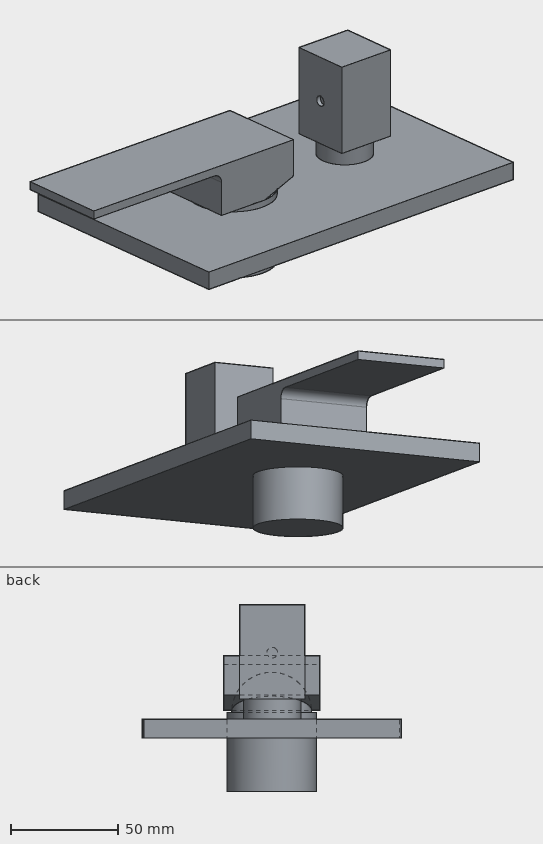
import cadquery as cq

PLATE_BOTTOM = 24.9
PLATE_THICKNESS = 9.0
PLATE_TOP = PLATE_BOTTOM + PLATE_THICKNESS
SLEEVE_TOP = 37.0
HANDLE_BOTTOM = 37.8
HANDLE_TOP = 63.4
KNOB_BOTTOM = 43.0
KNOB_TOP = 87.0

PLATE_WIDTH = 120.0
PLATE_LENGTH = 190.0
PLATE_CENTER_Y = 27.0
PLATE_TURN = 0.3

SLEEVE_RADIUS = 21.0
DOME_RADIUS = 18.7

HANDLE_WIDTH = 45.0
HANDLE_BACK_Y = 18.2
HANDLE_LENGTH = 124.0
HANDLE_FRONT_Y = HANDLE_BACK_Y - HANDLE_LENGTH
BLOCK_FRONT_Y = -26.5
BLADE_THICKNESS = 4.0
BLADE_BOTTOM = HANDLE_TOP - BLADE_THICKNESS
BLADE_FILLET = 4.5
RELIEF_HEIGHT = 7.0
RELIEF_END_Y = 0.5

KNOB_SIDE = 30.3
KNOB_X = -0.2
KNOB_Y = 70.0
STEM_RADIUS = 13.5
SCREW_HOLE_DIAMETER = 5.0
SCREW_HOLE_DEPTH = 2.3
SCREW_HOLE_Z = 64.8


def make_plate():
    """Rectangular plate with a through hole for the sleeve."""
    slab = (
        cq.Workplane("XY")
        .box(PLATE_WIDTH, PLATE_LENGTH, PLATE_THICKNESS, centered=(True, True, False))
        .rotate((0, 0, 0), (0, 0, 1), PLATE_TURN)
        .translate((0, PLATE_CENTER_Y, PLATE_BOTTOM))
    )
    return slab.cut(make_sleeve())


def make_sleeve():
    """Round cartridge sleeve passing through the plate."""
    return cq.Workplane("XY").circle(SLEEVE_RADIUS).extrude(SLEEVE_TOP)


def make_dome():
    """Hemisphere standing on the sleeve and seated in the handle."""
    return (
        cq.Workplane("XZ", origin=(0, 0, SLEEVE_TOP))
        .moveTo(0, 0)
        .lineTo(DOME_RADIUS, 0)
        .radiusArc((0, DOME_RADIUS), -DOME_RADIUS)
        .close()
        .revolve(360, (0, 0), (0, 1))
    )


def make_handle():
    """Side profile across the full width, with a socket for the dome."""
    lever = (
        cq.Workplane("YZ")
        .moveTo(HANDLE_BACK_Y, HANDLE_TOP)
        .lineTo(HANDLE_FRONT_Y, HANDLE_TOP)
        .lineTo(HANDLE_FRONT_Y, BLADE_BOTTOM)
        .lineTo(BLOCK_FRONT_Y - BLADE_FILLET, BLADE_BOTTOM)
        .radiusArc((BLOCK_FRONT_Y, BLADE_BOTTOM - BLADE_FILLET), BLADE_FILLET)
        .lineTo(BLOCK_FRONT_Y, HANDLE_BOTTOM)
        .lineTo(RELIEF_END_Y, HANDLE_BOTTOM)
        .lineTo(HANDLE_BACK_Y, HANDLE_BOTTOM + RELIEF_HEIGHT)
        .close()
        .extrude(HANDLE_WIDTH / 2, both=True)
    )
    return lever.cut(make_dome())


def make_stem():
    """Round stem standing on the plate under the knob."""
    return (
        cq.Workplane("XY", origin=(KNOB_X, KNOB_Y, PLATE_TOP))
        .circle(STEM_RADIUS)
        .extrude(KNOB_BOTTOM - PLATE_TOP)
    )


def make_knob():
    """Square block with a blind set-screw hole in its front face."""
    block = (
        cq.Workplane("XY", origin=(KNOB_X, KNOB_Y, KNOB_BOTTOM))
        .rect(KNOB_SIDE, KNOB_SIDE)
        .extrude(KNOB_TOP - KNOB_BOTTOM)
    )
    screw_hole = (
        cq.Workplane("XZ", origin=(KNOB_X, KNOB_Y - KNOB_SIDE / 2, SCREW_HOLE_Z))
        .circle(SCREW_HOLE_DIAMETER / 2)
        .extrude(-SCREW_HOLE_DEPTH)
    )
    return block.cut(screw_hole)


plate = make_plate()
sleeve = make_sleeve()
dome = make_dome()
handle = make_handle()
stem = make_stem()
knob = make_knob()

bodies = [plate, sleeve, dome, handle, stem, knob]
result = cq.Compound.makeCompound([body.solids().val() for body in bodies])